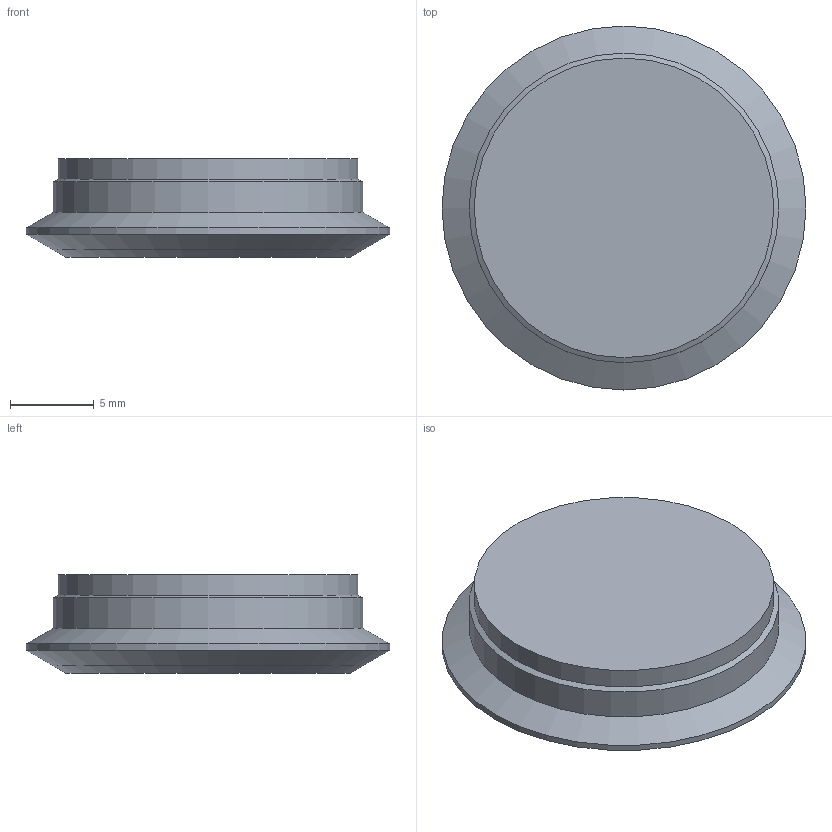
import cadquery as cq
import math

overall_height = 5.85
ring_diameter = 21.7
plug_diameter = 18.46
top_diameter = 17.86
bevel_angle = 30.0
rim_height = 0.37
ring_bottom_z = 0.43
top_step_height = 1.20

ring_radius = ring_diameter / 2
plug_radius = plug_diameter / 2
top_radius = top_diameter / 2
bevel_slope = math.tan(math.radians(bevel_angle))
bottom_radius = plug_radius - ring_bottom_z / bevel_slope
ring_bevel_height = (ring_radius - plug_radius) * bevel_slope
rim_bottom_z = ring_bottom_z + ring_bevel_height
rim_top_z = rim_bottom_z + rim_height
ring_top_z = rim_top_z + ring_bevel_height
top_step_z = overall_height - top_step_height
shoulder_z = top_step_z - (plug_radius - top_radius) * bevel_slope


def revolve_profile(points):
    """Revolve a closed (radius, z) outline a full turn about the Z axis."""
    return cq.Workplane("XZ").polyline(points).close().revolve(360, (0, 0, 0), (0, 1, 0))


def make_plug():
    """Solid stepped disc with a conical lower edge and a bevelled upper shoulder."""
    return revolve_profile([
        (0, 0),
        (bottom_radius, 0),
        (plug_radius, ring_bottom_z),
        (plug_radius, shoulder_z),
        (top_radius, top_step_z),
        (top_radius, overall_height),
        (0, overall_height),
    ])


def make_ring():
    """Flange ring around the plug, bevelled above and below its narrow rim."""
    return revolve_profile([
        (plug_radius, ring_bottom_z),
        (ring_radius, rim_bottom_z),
        (ring_radius, rim_top_z),
        (plug_radius, ring_top_z),
    ])


plug = make_plug()
ring = make_ring()

result = cq.Compound.makeCompound([plug.val(), ring.val()])